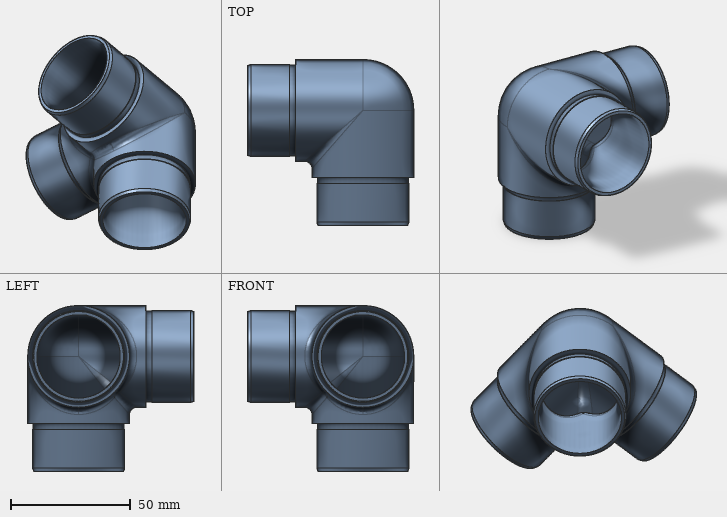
import cadquery as cq

body_radius = 21.2
spigot_radius = 19.2
bore_radius = 17.35
leg_length = 48.0
spigot_length = 20.0
shoulder_distance = leg_length - spigot_length

relief_depth = 0.25
relief_length = 2.5
lead_in_length = 1.4
lead_in_depth = 0.5

outer_crotch_radius = 3.0
inner_crotch_radius = 4.3

LEG_DIRECTIONS = [(-1, 0, 0), (0, -1, 0), (0, 0, -1)]


def rod(direction, radius, length):
    """Solid cylinder along one leg, starting at the origin."""
    return cq.Workplane(cq.Solid.makeCylinder(radius, length, dir=cq.Vector(*direction)))


def rounded_corner(radius, length, crotch_radius):
    """Three equal rods joined by a ball, with the crotches between them rounded."""
    corner = cq.Workplane(cq.Solid.makeSphere(radius, angleDegrees1=-90))
    for direction in LEG_DIRECTIONS:
        corner = corner.union(rod(direction, radius, length))
    return corner.edges("%ELLIPSE").fillet(crotch_radius)


def spigot(direction):
    """Turned plug on one leg: relief groove, full diameter, bevelled end."""
    relief_radius = spigot_radius - relief_depth
    relief_end = shoulder_distance + relief_length
    lead_in_start = leg_length - lead_in_length
    lead_in_radius = spigot_radius - lead_in_depth
    half_profile = [
        (0, shoulder_distance),
        (relief_radius, shoulder_distance),
        (relief_radius, relief_end),
        (spigot_radius, relief_end),
        (spigot_radius, lead_in_start),
        (lead_in_radius, leg_length),
        (0, leg_length),
    ]
    across = (direction[1], direction[2], direction[0])
    normal = cq.Vector(*across).cross(cq.Vector(*direction))
    plane = cq.Plane(origin=(0, 0, 0), xDir=across, normal=normal)
    return cq.Workplane(plane).polyline(half_profile).close().revolve(360, (0, 0), (0, 1))


result = rounded_corner(body_radius, shoulder_distance, outer_crotch_radius)
for leg_direction in LEG_DIRECTIONS:
    result = result.union(spigot(leg_direction))
result = result.cut(rounded_corner(bore_radius, leg_length, inner_crotch_radius))